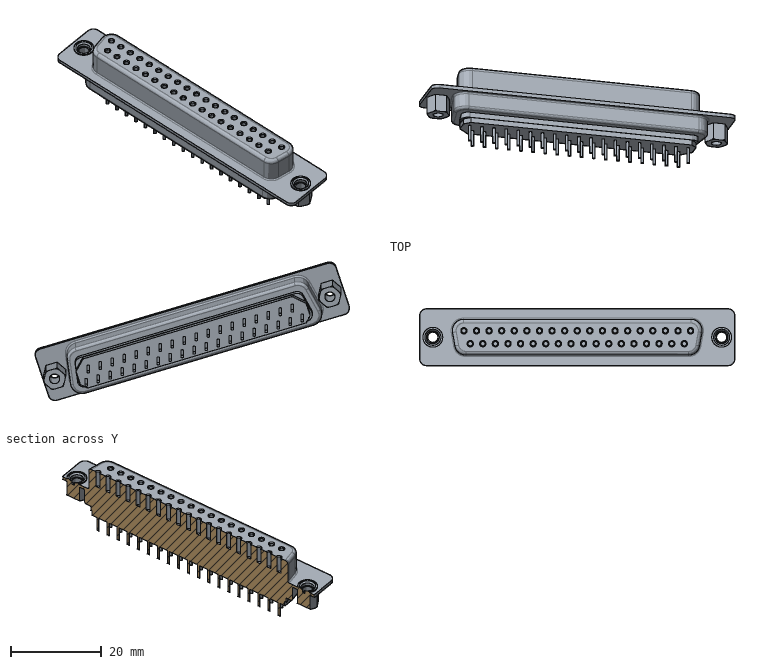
import cadquery as cq
import math


flange_length = 69.3
flange_width = 12.55
flange_thickness = 0.8
flange_corner_radius = 1.5

end_slope = 10.0

shell_mid_half_length = 27.25
shell_half_width = 3.95
shell_corner_radius = 2.5
shell_top = 6.65
shell_top_fillet = 0.8

rear_mid_half_length = 28.4
rear_half_width = 5.4
rear_corner_radius = 2.6
rear_bottom = -3.9
rear_bottom_fillet = 0.6

shell_root_fillet = 0.3
rear_root_fillet = 0.35

step_mid_half_length = 26.7
step_half_width = 3.5
step_corner_radius = 1.5
step_bottom = -5.05
base_half_length = 26.55
base_half_width = 3.4
base_bottom = -6.25
base_front_chamfer = 2.4
base_back_chamfer = 1.3

back_row_span = 49.85
row_spacing = 2.85
back_row_count = 19
front_row_count = back_row_count - 1
pitch = back_row_span / (back_row_count - 1)
pin_diameter = 0.6
pin_tip = -9.8
socket_diameter = 1.0
socket_depth = 4.15
socket_chamfer = 0.2

standoff_spacing = 63.5
standoff_corner_diameter = 5.2
standoff_bottom = rear_bottom
standoff_chamfer = 0.2
collar_diameter = 4.4
collar_height = 0.2
collar_bore = 2.85
collar_flare = 0.35
thread_diameter = 2.2


def d_prism(mid_half_length, half_width, corner_radius, z_start, z_end):
    """D-shaped prism; mid_half_length is its half length at Y = 0."""
    lean = half_width * math.tan(math.radians(end_slope))
    back = mid_half_length + lean
    front = mid_half_length - lean
    outline = [(-back, half_width), (back, half_width), (front, -half_width), (-front, -half_width)]
    prism = cq.Workplane("XY").workplane(offset=z_start).polyline(outline).close().extrude(z_end - z_start)
    return prism.edges("|Z").fillet(corner_radius)


def make_flange():
    plate = cq.Workplane("XY").rect(flange_length, flange_width).extrude(flange_thickness)
    return plate.edges("|Z").fillet(flange_corner_radius)


def fillet_root(body, z_level, half_width, radius):
    """Round the inner corner around a D-shaped body where it meets the flange."""
    root = cq.selectors.BoxSelector(
        (-flange_length / 2 + flange_corner_radius, -half_width - radius, z_level - radius),
        (flange_length / 2 - flange_corner_radius, half_width + radius, z_level + radius),
    )
    return body.edges(root).fillet(radius)


def make_housing():
    shell = d_prism(shell_mid_half_length, shell_half_width, shell_corner_radius, 0, shell_top)
    shell = shell.faces(">Z").edges().fillet(shell_top_fillet)
    rear = d_prism(rear_mid_half_length, rear_half_width, rear_corner_radius, rear_bottom, flange_thickness)
    rear = rear.faces("<Z").edges().fillet(rear_bottom_fillet)
    housing = make_flange().union(shell).union(rear)
    housing = fillet_root(housing, flange_thickness, shell_half_width, shell_root_fillet)
    return fillet_root(housing, 0, rear_half_width, rear_root_fillet)


def make_step():
    return d_prism(step_mid_half_length, step_half_width, step_corner_radius, step_bottom, rear_bottom)


def make_base():
    """Lowest insulator block, with larger corner cuts on the -Y side."""
    base = cq.Workplane("XY").workplane(offset=base_bottom)
    base = base.rect(2 * base_half_length, 2 * base_half_width).extrude(step_bottom - base_bottom)
    base = base.edges("|Z and <Y").chamfer(base_front_chamfer)
    return base.edges("|Z and >Y").chamfer(base_back_chamfer)


def contact_positions():
    positions = []
    for count, y in ((back_row_count, row_spacing / 2), (front_row_count, -row_spacing / 2)):
        for index in range(count):
            x = (index - (count - 1) / 2) * pitch
            positions.append((x, y))
    return positions


def make_pins():
    pins = cq.Workplane("XY").workplane(offset=pin_tip).pushPoints(contact_positions())
    return pins.circle(pin_diameter / 2).extrude(step_bottom - pin_tip)


def make_sockets():
    """Blind contact holes with a chamfered mouth, as one cutter."""
    radius = socket_diameter / 2
    profile = [
        (0, shell_top - socket_depth),
        (radius, shell_top - socket_depth),
        (radius, shell_top - socket_chamfer),
        (radius + socket_chamfer, shell_top),
        (0, shell_top),
    ]
    socket = cq.Workplane("XZ").polyline(profile).close().revolve(360, (0, 0, 0), (0, 1, 0)).val()
    mouths = cq.Workplane("XY").pushPoints(contact_positions())
    return mouths.eachpoint(lambda place: socket.moved(place))


def make_standoff():
    """Hexagonal post with its lower corners turned down, plus the collar above the flange."""
    post = cq.Workplane("XY").workplane(offset=standoff_bottom)
    hexagon = post.polygon(6, standoff_corner_diameter).extrude(-standoff_bottom)
    turned = post.circle(standoff_corner_diameter / 2).extrude(-standoff_bottom)
    turned = turned.faces("<Z").edges().chamfer(standoff_chamfer)
    collar = cq.Workplane("XY").circle(collar_diameter / 2).extrude(flange_thickness + collar_height)
    return hexagon.intersect(turned).union(collar)


def make_standoff_bore():
    """Flared clearance bore through the flange, then the narrower thread bore."""
    collar_top = flange_thickness + collar_height
    profile = [
        (0, standoff_bottom),
        (thread_diameter / 2, standoff_bottom),
        (thread_diameter / 2, 0),
        (collar_bore / 2, 0),
        (collar_bore / 2, collar_top - collar_flare),
        (collar_bore / 2 + collar_flare, collar_top),
        (0, collar_top),
    ]
    return cq.Workplane("XZ").polyline(profile).close().revolve(360, (0, 0, 0), (0, 1, 0))


result = make_housing().union(make_step()).union(make_base()).union(make_pins())
for x in (-standoff_spacing / 2, standoff_spacing / 2):
    result = result.union(make_standoff().translate((x, 0, 0)))
    result = result.cut(make_standoff_bore().translate((x, 0, 0)))
result = result.cut(make_sockets())